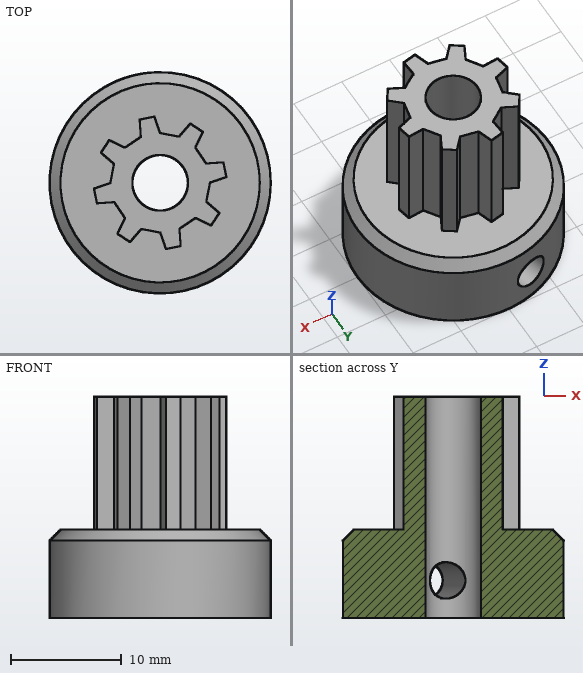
import cadquery as cq
import math

hub_diameter = 20.0
hub_height = 8.0
hub_chamfer = 1.0

total_height = 20.0
tooth_count = 8
tip_radius = 6.0
root_radius = 4.5
tooth_angle = 11.5
tip_half_angle = 6.5
root_half_angle = 11.3

bore_diameter = 5.0
screw_diameter = 3.3
screw_angle = 105.0
screw_height = 3.4


def polar(radius, degrees):
    angle = math.radians(degrees)
    return (radius * math.cos(angle), radius * math.sin(angle))


def make_hub():
    hub = cq.Workplane("XY").circle(hub_diameter / 2).extrude(hub_height)
    return hub.faces(">Z").edges().chamfer(hub_chamfer)


def make_pinion():
    """Straight-sided teeth with flat tips and flat root lands."""
    outline = []
    for index in range(tooth_count):
        center = tooth_angle + index * 360.0 / tooth_count
        outline.append(polar(root_radius, center - root_half_angle))
        outline.append(polar(tip_radius, center - tip_half_angle))
        outline.append(polar(tip_radius, center + tip_half_angle))
        outline.append(polar(root_radius, center + root_half_angle))
    pinion = cq.Workplane("XY").workplane(offset=hub_height).polyline(outline).close()
    return pinion.extrude(total_height - hub_height)


def make_bore():
    return cq.Workplane("XY").circle(bore_diameter / 2).extrude(total_height)


def make_screw_hole():
    """Radial cylinder from the bore axis out through one side of the hub."""
    direction = cq.Vector(*polar(1.0, screw_angle), 0)
    start = cq.Vector(0, 0, screw_height)
    return cq.Solid.makeCylinder(screw_diameter / 2, hub_diameter, start, direction)


result = make_hub().union(make_pinion()).cut(make_bore()).cut(make_screw_hole())